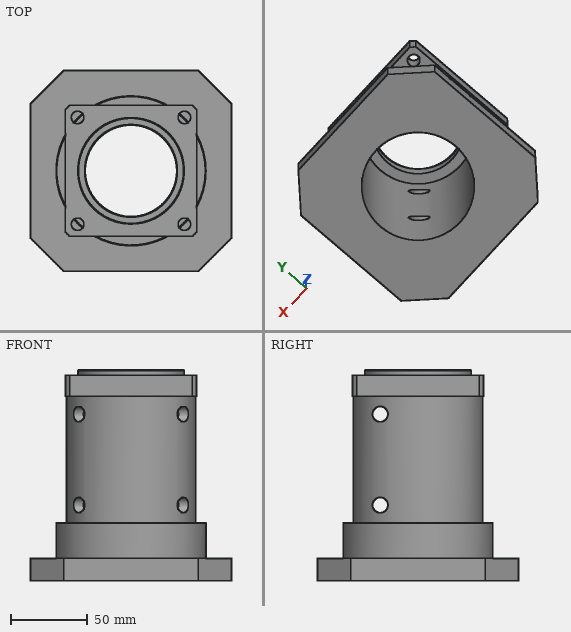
import cadquery as cq

base_side = 132.0
base_thickness = 14.8
base_corner_cut = 21.9

collar_diameter = 98.5
collar_top = 38.2
collar_chamfer = 0.5
tube_diameter = 85.0

plate_side = 86.1
plate_bottom = 121.0
plate_top = 135.0
plate_corner_cut = 2.9
bolt_hole_diameter = 8.2
bolt_spacing = 70.1
spigot_diameter = 70.0
spigot_top = 138.5
spigot_chamfer = 0.5

lip_diameter = 60.0
lip_bottom = 127.0
lip_chamfer = 0.5
cavity_diameter = 74.0

cross_hole_diameter = 10.0
cross_hole_y = -24.8
cross_hole_heights = (49.7, 109.4)


def cylinder(diameter, bottom, top):
    """Vertical cylinder on the Z axis."""
    return cq.Workplane("XY").workplane(offset=bottom).circle(diameter / 2).extrude(top - bottom)


def make_base():
    base = cq.Workplane("XY").rect(base_side, base_side).extrude(base_thickness)
    return base.edges("|Z").chamfer(base_corner_cut)


def make_plate():
    plate = cq.Workplane("XY").workplane(offset=plate_bottom).rect(plate_side, plate_side)
    plate = plate.extrude(plate_top - plate_bottom).edges("|Z").chamfer(plate_corner_cut)
    bolt_pattern = plate.faces(">Z").workplane().rect(bolt_spacing, bolt_spacing, forConstruction=True)
    return bolt_pattern.vertices().hole(bolt_hole_diameter)


def make_bore():
    lip_bore = cylinder(lip_diameter, lip_bottom, spigot_top)
    entry = cq.Workplane("XY").workplane(offset=spigot_top).circle(lip_diameter / 2 + lip_chamfer)
    entry = entry.workplane(offset=-lip_chamfer).circle(lip_diameter / 2).loft()
    return cylinder(cavity_diameter, 0, lip_bottom).union(lip_bore).union(entry)


def make_cross_hole(height):
    hole = cq.Workplane("YZ").center(cross_hole_y, height).circle(cross_hole_diameter / 2)
    return hole.extrude(tube_diameter / 2, both=True)


collar = cylinder(collar_diameter, base_thickness, collar_top).faces(">Z").chamfer(collar_chamfer)
tube = cylinder(tube_diameter, collar_top, plate_bottom)
spigot = cylinder(spigot_diameter, plate_top, spigot_top).faces(">Z").chamfer(spigot_chamfer)

result = make_base().union(collar).union(tube).union(make_plate()).union(spigot)
result = result.cut(make_bore())
for height in cross_hole_heights:
    result = result.cut(make_cross_hole(height))